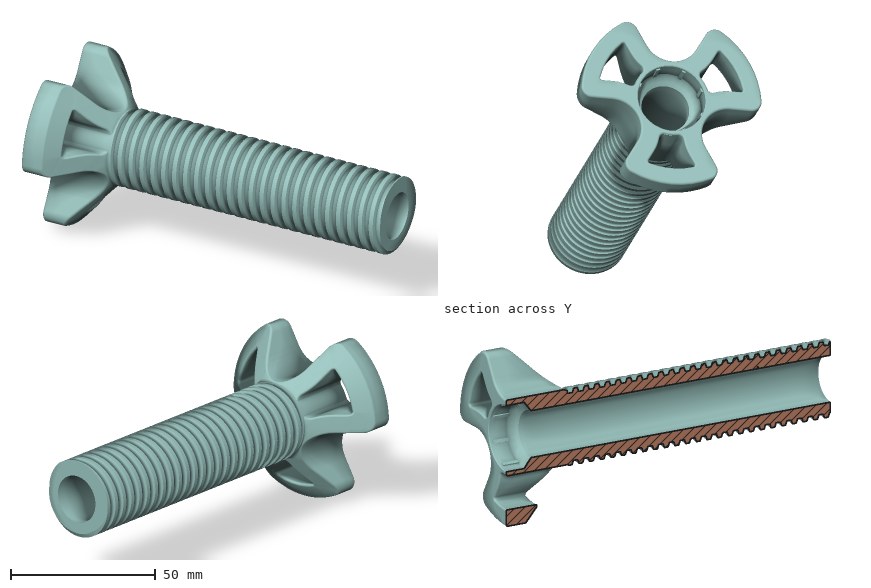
import cadquery as cq
import math

LENGTH = 130.0

ARM_COUNT = 3
ARM_SPACING = 360 / ARM_COUNT
FIRST_VALLEY_ANGLE = 90
HEAD_RADIUS = 32.0
RIM_WIDTH = 7.9
CONE_END = 23.5
VALLEY_RADIUS = 10.0
VALLEY_CENTRE = 24.0
VALLEY_FLANK_ANGLE = math.radians(30)
ARM_TIP_FILLET = 3.8
HEAD_EDGE_FILLET = 0.8

WINDOW_OUTER_RADIUS = 25.9
WINDOW_INNER_RADIUS = 13.5
WINDOW_WALL = 6.8
WINDOW_INNER_FILLET = 1.8
WINDOW_OUTER_FILLET = 0.8
WINDOW_EDGE_FILLET = 0.6
BOX_MARGIN = 0.1

COLLAR_END = 24.6
COLLAR_RADIUS = 13.6

ROOT_RADIUS = 12.5
CREST_RADIUS = 13.98
CREST_WIDTH = 1.5
THREAD_BASE_WIDTH = 3.0
THREAD_ROOT_OVERLAP = 0.4
FIRST_CREST = 27.8
LAST_CREST = 126.1
TURNS_BETWEEN_CRESTS = 23
PITCH = (LAST_CREST - FIRST_CREST) / TURNS_BETWEEN_CRESTS

BORE_RADIUS = 8.5
COUNTERBORE_RADIUS = 12.0
COUNTERBORE_DEPTH = 7.3
COUNTERBORE_CONE_END = 10.0
MOUTH_CHAMFER = 0.3
RIB_COUNT = 8
RIB_SPACING = 360 / RIB_COUNT
RIB_WIDTH = 1.3
RIB_HEIGHT = 0.5
RIB_START = 1.2

CONE_SLOPE = (HEAD_RADIUS - CREST_RADIUS) / (CONE_END - RIM_WIDTH)


def cylinder(radius, start, end):
    return cq.Workplane("YZ", origin=(start, 0, 0)).circle(radius).extrude(end - start)


def turned(profile):
    """Solid of revolution about the X axis from (place along X, radius) points."""
    return cq.Workplane("XY").polyline(profile).close().revolve(360, (0, 0, 0), (1, 0, 0))


def around_axis(shape, angle):
    return shape.rotate((0, 0, 0), (1, 0, 0), angle)


def distance_from_axis(edge):
    centre = edge.Center()
    return math.hypot(centre.y, centre.z)


def cut_valleys(body, arc_radius):
    """Cut the spaces between the arms, each a vee with a round bottom."""
    side = arc_radius * math.cos(VALLEY_FLANK_ANGLE)
    side_height = VALLEY_CENTRE - arc_radius * math.sin(VALLEY_FLANK_ANGLE)
    top_side = side + HEAD_RADIUS * math.sin(VALLEY_FLANK_ANGLE)
    top_height = side_height + HEAD_RADIUS * math.cos(VALLEY_FLANK_ANGLE)
    valley = (
        cq.Workplane("YZ")
        .moveTo(-top_side, top_height)
        .lineTo(-side, side_height)
        .threePointArc((0, VALLEY_CENTRE - arc_radius), (side, side_height))
        .lineTo(top_side, top_height)
        .close()
        .extrude(COLLAR_END)
    )
    for i in range(ARM_COUNT):
        body = body.cut(around_axis(valley, FIRST_VALLEY_ANGLE - 90 + i * ARM_SPACING))
    return body


def windows():
    """Prisms of the arm windows, with side walls running parallel to the valleys."""
    ring = cylinder(WINDOW_OUTER_RADIUS, 0, COLLAR_END).cut(cylinder(WINDOW_INNER_RADIUS, 0, COLLAR_END))
    prisms = cut_valleys(ring, WINDOW_WALL + VALLEY_RADIUS)
    middle = (WINDOW_INNER_RADIUS + WINDOW_OUTER_RADIUS) / 2
    prisms = prisms.edges("|X").filter(lambda e: distance_from_axis(e) < middle).fillet(WINDOW_INNER_FILLET)
    return prisms.edges("|X").filter(lambda e: distance_from_axis(e) > middle).fillet(WINDOW_OUTER_FILLET)


def head():
    arms = cut_valleys(cylinder(HEAD_RADIUS, 0, COLLAR_END), VALLEY_RADIUS)
    arms = arms.edges("|X").fillet(ARM_TIP_FILLET)
    cone_tip_radius = CREST_RADIUS - CONE_SLOPE * (COLLAR_END - CONE_END)
    cone_base_radius = HEAD_RADIUS + CONE_SLOPE * RIM_WIDTH
    cone = turned([(0, 0), (0, cone_base_radius), (COLLAR_END, cone_tip_radius), (COLLAR_END, 0)])
    body = arms.intersect(cone)
    body = body.faces("<X").edges().fillet(HEAD_EDGE_FILLET)
    body = body.faces("%CONE").edges().filter(lambda e: e.Center().x < COLLAR_END).fillet(HEAD_EDGE_FILLET)

    window_prisms = windows()
    body = body.cut(window_prisms)
    window_boxes = [prism.BoundingBox(0.01) for prism in window_prisms.solids().vals()]

    def borders_window(edge):
        box = edge.BoundingBox()
        return any(
            window.ymin - BOX_MARGIN < box.ymin
            and box.ymax < window.ymax + BOX_MARGIN
            and window.zmin - BOX_MARGIN < box.zmin
            and box.zmax < window.zmax + BOX_MARGIN
            for window in window_boxes
        )

    body = body.faces("<X").edges().filter(borders_window).fillet(WINDOW_EDGE_FILLET)
    body = body.faces("%CONE").edges().filter(borders_window).fillet(WINDOW_EDGE_FILLET)
    return body.union(cylinder(COLLAR_RADIUS, WINDOW_EDGE_FILLET, COLLAR_END))


def thread():
    """Right-handed trapezoidal ridge that starts inside the collar and runs past the end."""
    start = FIRST_CREST - PITCH
    helix_length = LENGTH + PITCH - start
    foot_radius = ROOT_RADIUS - THREAD_ROOT_OVERLAP
    corners = [
        (foot_radius, -THREAD_BASE_WIDTH / 2),
        (CREST_RADIUS, -CREST_WIDTH / 2),
        (CREST_RADIUS, CREST_WIDTH / 2),
        (foot_radius, THREAD_BASE_WIDTH / 2),
    ]
    helices = [
        cq.Wire.makeHelix(PITCH, helix_length, radius).translate(cq.Vector(0, 0, offset))
        for radius, offset in corners
    ]
    faces = [cq.Face.makeRuledSurface(helices[i - 1], helices[i]) for i in range(len(helices))]
    for ends in ([h.startPoint() for h in helices], [h.endPoint() for h in helices]):
        faces.append(cq.Face.makeFromWires(cq.Wire.makePolygon(ends, close=True)))
    upright = cq.Workplane(obj=cq.Solid.makeSolid(cq.Shell.makeShell(faces)))
    lying = around_axis(upright.rotate((0, 0, 0), (0, 1, 0), 90), 180)
    return lying.translate((start, 0, 0))


def shaft():
    core = cylinder(ROOT_RADIUS, COUNTERBORE_CONE_END, LENGTH + PITCH)
    core = core.cut(cylinder(BORE_RADIUS, 0, LENGTH + PITCH))
    return core.union(thread()).intersect(cylinder(CREST_RADIUS + 1.3, COLLAR_END, LENGTH))


def head_bore():
    bore = turned([
        (0, 0),
        (0, COUNTERBORE_RADIUS + MOUTH_CHAMFER),
        (MOUTH_CHAMFER, COUNTERBORE_RADIUS),
        (COUNTERBORE_DEPTH, COUNTERBORE_RADIUS),
        (COUNTERBORE_CONE_END, BORE_RADIUS),
        (COLLAR_END, BORE_RADIUS),
        (COLLAR_END, 0),
    ])
    rib = (
        cq.Workplane("YZ", origin=(RIB_START, 0, 0))
        .center(COUNTERBORE_RADIUS, 0)
        .rect(2 * RIB_HEIGHT, RIB_WIDTH)
        .extrude(COUNTERBORE_CONE_END - RIB_START)
    )
    for i in range(RIB_COUNT):
        bore = bore.cut(around_axis(rib, (i + 0.5) * RIB_SPACING))
    return bore


result = head().cut(head_bore()).union(shaft(), glue=True, clean=False)